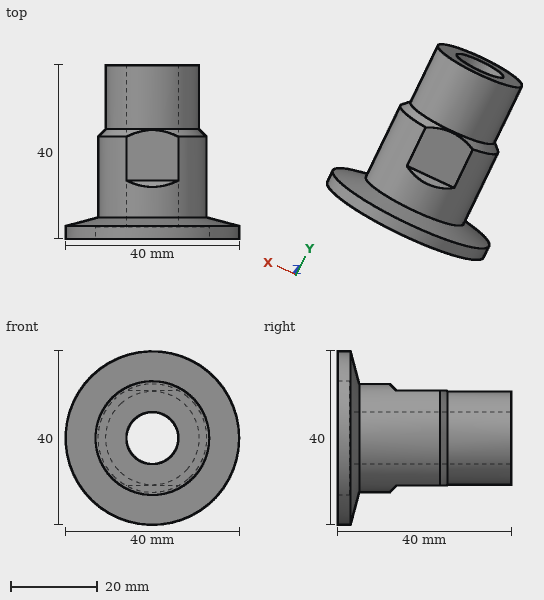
import cadquery as cq

length = 40.0
flange_diameter = 40.0
rim_thickness = 3.0
flange_thickness = 5.0

body_diameter = 25.0
tube_diameter = 21.5
tube_length = 14.7
shoulder_chamfer = (body_diameter - tube_diameter) / 2

bore_diameter = 11.9
recess_diameter = 26.2
recess_depth = 2.7

across_flats = 21.9
flat_start = 13.5

front_y = -length / 2
back_y = length / 2
body_radius = body_diameter / 2
shoulder_y = back_y - tube_length


def revolved_body():
    """Flange, body and tube revolved about the Y axis."""
    profile = [
        (0, front_y),
        (flange_diameter / 2, front_y),
        (flange_diameter / 2, front_y + rim_thickness),
        (body_radius, front_y + flange_thickness),
        (body_radius, shoulder_y - shoulder_chamfer),
        (tube_diameter / 2, shoulder_y),
        (tube_diameter / 2, back_y),
        (0, back_y),
    ]
    return cq.Workplane("XY").polyline(profile).close().revolve(360, (0, 0), (0, 1))


def face_hole(diameter, depth):
    """Round cutter that enters from the flange face."""
    face = cq.Workplane("XZ", origin=(0, front_y, 0))
    return face.circle(diameter / 2).extrude(-depth)


def flat_cutter(side):
    """Cutter for one wrench flat; side is +1 for the top and -1 for the bottom."""
    flat_height = across_flats / 2
    runout = body_radius - flat_height
    flat_y = front_y + flat_start
    section = [
        (flat_y, side * flat_height),
        (shoulder_y, side * flat_height),
        (shoulder_y, side * body_radius),
        (flat_y - runout, side * body_radius),
    ]
    return cq.Workplane("YZ").polyline(section).close().extrude(body_radius, both=True)


result = revolved_body()
result = result.cut(face_hole(bore_diameter, length))
result = result.cut(face_hole(recess_diameter, recess_depth))
for flat_side in (1, -1):
    result = result.cut(flat_cutter(flat_side))